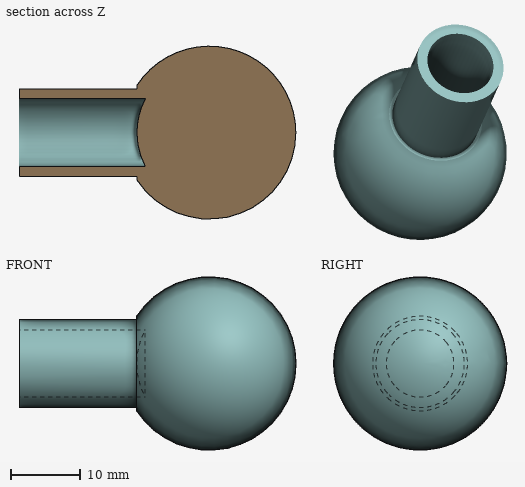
import cadquery as cq
import math

overall_length = 39.9
ball_diameter = 25.0
tube_length = 16.9
tube_diameter = 12.73
bore_diameter = 9.75

ball_radius = ball_diameter / 2
tube_radius = tube_diameter / 2
bore_radius = bore_diameter / 2
ball_center_x = overall_length - ball_radius
flat_radius = math.sqrt(ball_radius**2 - (ball_center_x - tube_length) ** 2)

dome_radius = ball_center_x - tube_length
dome_rim_x = ball_center_x - math.sqrt(dome_radius**2 - bore_radius**2)
dome_middle_height = bore_radius / 2
dome_middle_x = ball_center_x - math.sqrt(dome_radius**2 - dome_middle_height**2)

result = (
    cq.Workplane("XY")
    .moveTo(0, bore_radius)
    .lineTo(0, tube_radius)
    .lineTo(tube_length, tube_radius)
    .lineTo(tube_length, flat_radius)
    .threePointArc((ball_center_x, ball_radius), (overall_length, 0))
    .lineTo(tube_length, 0)
    .threePointArc((dome_middle_x, dome_middle_height), (dome_rim_x, bore_radius))
    .close()
    .revolve(360, (0, 0, 0), (1, 0, 0))
)